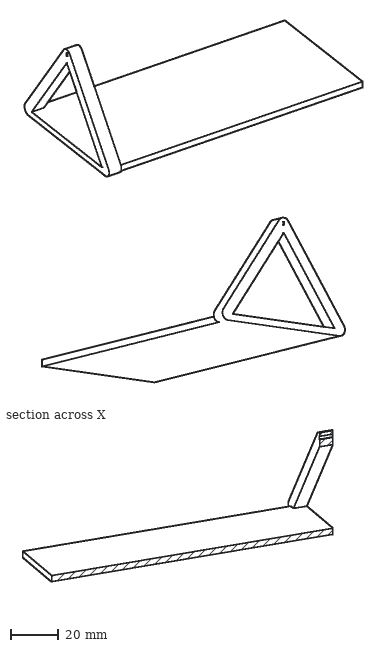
import cadquery as cq
import math

total_width = 64.7
total_length = 130.0
total_height = 47.5

plate_width = 59.4
plate_thickness = 3.0

frame_depth = 6.2
corner_radius = 3.0
side_bar_width = 5.1

slot_width = 0.5
slot_height = 1.3
slot_center_height = 45.0

corner_half_span = total_width / 2 - corner_radius
corner_rise = total_height - 2 * corner_radius
side_slope = corner_rise / corner_half_span
side_angle = math.atan(side_slope)

side_inset = (side_bar_width - corner_radius) / math.cos(side_angle)
opening_apex = total_height - corner_radius - side_inset
opening_half_width = (opening_apex - plate_thickness) / side_slope


def triangle_prism(half_width, bottom, apex):
    """Isosceles triangle in XZ, extruded through the frame depth from Y = 0."""
    outline = [(-half_width, bottom), (half_width, bottom), (0, apex)]
    return cq.Workplane("XZ").polyline(outline).close().extrude(-frame_depth)


def make_frame():
    sharp_apex = total_height - corner_radius + corner_radius / math.cos(side_angle)
    sharp_half_width = sharp_apex / side_slope
    outer = triangle_prism(sharp_half_width, 0, sharp_apex).edges("|Y").fillet(corner_radius)
    opening = triangle_prism(opening_half_width, plate_thickness, opening_apex)
    return outer.cut(opening)


def make_plate():
    return (
        cq.Workplane("XY")
        .box(plate_width, total_length - frame_depth, plate_thickness, centered=(True, False, False))
        .translate((0, frame_depth, 0))
    )


def make_apex_slot():
    return (
        cq.Workplane("XZ")
        .center(0, slot_center_height)
        .rect(slot_width, slot_height)
        .extrude(-frame_depth)
    )


result = make_frame().union(make_plate()).cut(make_apex_slot())